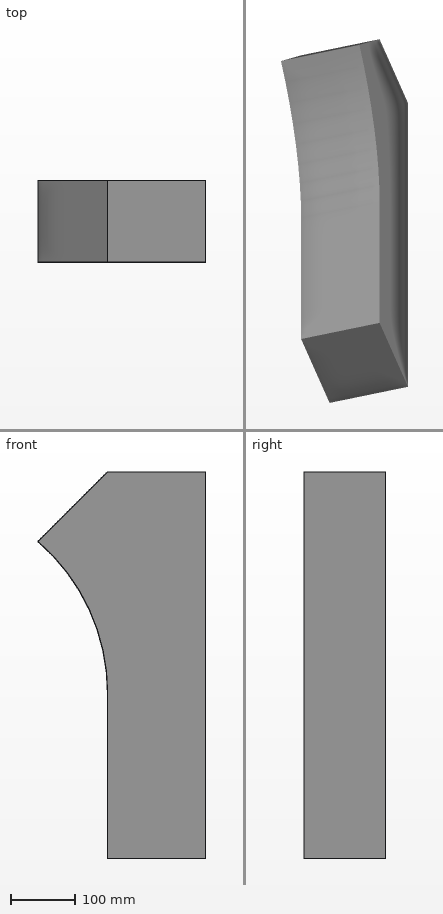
import cadquery as cq
import math

height = 600.0
thickness = 127.0
post_width = 152.5
overhang = 108.0
arc_start_z = 257.0

nose_z = height - overhang

arc_rise = nose_z - arc_start_z
arc_radius = (arc_rise**2 + overhang**2) / (2 * overhang)
half_sweep = math.asin(arc_rise / arc_radius) / 2
arc_middle = (
    -arc_radius * (1 - math.cos(half_sweep)),
    arc_start_z + arc_radius * math.sin(half_sweep),
)

result = (
    cq.Workplane("XZ")
    .moveTo(0, 0)
    .lineTo(post_width, 0)
    .lineTo(post_width, height)
    .lineTo(0, height)
    .lineTo(-overhang, nose_z)
    .threePointArc(arc_middle, (0, arc_start_z))
    .close()
    .extrude(thickness / 2, both=True)
)